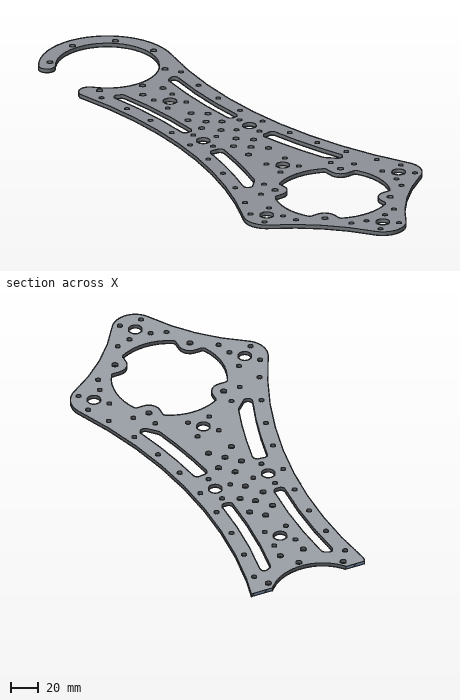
import cadquery as cq
import math

thickness = 3.0

hook_outer_radius = 50.0
hook_inner_radius = 37.7
hook_end_angle = 232.6
head_x = 270.0
arm_length = 60.0
arm_end_radius = 17.0
flank_radius = 350.5
nose_radius = 158.0
lower_lip_radius = 8.0

opening_radius = 42.0
pad_radius = 8.7
pad_edge_fillet = 2.5

small_hole = 3.5
medium_hole = 4.5
large_hole = 10.0

ring_hole_radius = 42.0
cluster_radius = 12.0
body_cluster_xs = (75.0, 210.0)
side_cluster_x = 142.5
side_cluster_y = 21.0
row_start = 100.5
row_pitch = 18.0
row_count = 5
pair_xs = (54.5, 108.5, 125.0, 163.0, 181.0)
pair_y = 9.0
rim_inset = 6.0
rim_first_angle = -100.0
rim_pitch_angle = 4.17
rim_count = 9
rim_skipped = 4
nose_inset = 8.0
nose_hole_angle = 7.0
shoulder_hole_radius = 52.0
shoulder_hole_angle = 9.4

slot_inset = 12.5
front_slot_width = 8.5
rear_slot_width = 11.0
slot_cluster_gap = 18.0
slot_head_gap = 59.0
front_slot_fillet = 3.0
rear_slot_fillet = 3.5


def polar(center, radius, angle):
    """Point at a radius and an angle in degrees around a centre."""
    turn = math.radians(angle)
    return (center[0] + radius * math.cos(turn), center[1] + radius * math.sin(turn))


def bearing(start, end):
    """Direction in degrees from one point to another."""
    return math.degrees(math.atan2(end[1] - start[1], end[0] - start[0]))


def mirrored(point):
    """Mirror image of a point across the X axis."""
    return (point[0], -point[1])


def with_mirrors(points):
    """Points together with their mirror images across the X axis."""
    return points + [mirrored(point) for point in points]


def meeting_point(first, first_distance, second, second_distance):
    """Point at given distances from two points, on the left going from first to second."""
    gap = math.dist(first, second)
    along = (gap**2 + first_distance**2 - second_distance**2) / (2 * gap)
    angle = math.degrees(math.acos(along / first_distance))
    return polar(first, first_distance, bearing(first, second) + angle)


hook = (0, 0)
head = (head_x, 0)
front_arm = (head_x + arm_length, 0)
upper_arm = (head_x, arm_length)
lower_arm = mirrored(upper_arm)
upper_flank = meeting_point(
    hook, hook_outer_radius + flank_radius, upper_arm, arm_end_radius + flank_radius
)
lower_flank = mirrored(upper_flank)
upper_nose = meeting_point(
    upper_arm, arm_end_radius + nose_radius, front_arm, arm_end_radius + nose_radius
)
lower_nose = mirrored(upper_nose)
lower_lip = meeting_point(
    hook, hook_inner_radius + lower_lip_radius, lower_flank, flank_radius + lower_lip_radius
)
hook_wall = hook_outer_radius - hook_inner_radius
hook_end = polar(hook, hook_inner_radius + hook_wall / 2, hook_end_angle)


def plate():
    """Plate outline as a chain of tangent arcs: centre, radius, start angle, end angle."""
    lip_angle = bearing(hook, lower_lip)
    arcs = [
        (hook, hook_inner_radius, hook_end_angle, lip_angle),
        (lower_lip, lower_lip_radius, lip_angle + 180, bearing(lower_lip, lower_flank) + 360),
        (lower_flank, flank_radius, bearing(lower_flank, lower_lip), bearing(lower_flank, lower_arm)),
        (lower_arm, arm_end_radius, bearing(lower_arm, lower_flank), bearing(lower_arm, lower_nose)),
        (lower_nose, nose_radius, bearing(lower_nose, lower_arm), bearing(lower_nose, front_arm)),
        (front_arm, arm_end_radius, bearing(front_arm, lower_nose), bearing(front_arm, upper_nose)),
        (upper_nose, nose_radius, bearing(upper_nose, front_arm), bearing(upper_nose, upper_arm)),
        (upper_arm, arm_end_radius, bearing(upper_arm, upper_nose), bearing(upper_arm, upper_flank)),
        (upper_flank, flank_radius, bearing(upper_flank, upper_arm), bearing(upper_flank, hook)),
        (hook, hook_outer_radius, bearing(hook, upper_flank), hook_end_angle),
        (hook_end, hook_wall / 2, hook_end_angle, hook_end_angle + 180),
    ]
    outline = cq.Workplane("XY").moveTo(*polar(hook, hook_inner_radius, hook_end_angle))
    for center, radius, start, end in arcs:
        middle = polar(center, radius, (start + end) / 2)
        outline = outline.threePointArc(middle, polar(center, radius, end))
    return outline.close().extrude(thickness)


def disc(center, radius):
    """Round cutter through the full thickness."""
    return cq.Workplane("XY").center(*center).circle(radius).extrude(thickness)


def head_opening():
    """Round opening with four rounded pads reaching in around the diagonal holes."""
    pad_offset = ring_hole_radius * math.sqrt(0.5)
    pad_size = 2 * opening_radius
    pad_center = pad_offset - pad_radius + pad_size / 2
    pads = (
        cq.Workplane("XY")
        .center(*head)
        .rect(2 * pad_center, 2 * pad_center, forConstruction=True)
        .vertices()
        .rect(pad_size, pad_size)
        .extrude(thickness)
        .edges("|Z")
        .fillet(pad_radius)
    )
    opening = disc(head, opening_radius).cut(pads)
    lobe_corners = opening.edges("|Z").filter(
        lambda edge: math.dist(edge.Center().toTuple()[:2], head) > opening_radius - pad_edge_fillet
    )
    return lobe_corners.fillet(pad_edge_fillet)


def slot(width, fillet, start_keepout, end_keepout, x_range):
    """Slot along the upper flank, ending where the two keep-out cutters begin."""
    outer = flank_radius + slot_inset
    band = disc(upper_flank, outer + width).cut(disc(upper_flank, outer))
    start, end = x_range
    window = (
        cq.Workplane("XY")
        .center((start + end) / 2, upper_flank[1] - outer)
        .rect(end - start, outer)
        .extrude(thickness)
    )
    cutter = band.intersect(window).cut(start_keepout).cut(end_keepout)
    return cutter.edges("|Z").fillet(fillet)


def flank_slots():
    """Front and rear slots on both sides of the body."""
    hook_area = disc(hook, hook_outer_radius)
    cluster_area = disc((side_cluster_x, side_cluster_y), slot_cluster_gap)
    head_area = (
        cq.Workplane("XY")
        .center(*head)
        .rect(2 * slot_head_gap, 2 * head_x)
        .extrude(thickness)
        .rotate((head_x, 0, 0), (head_x, 0, 1), -45)
    )
    front = slot(front_slot_width, front_slot_fillet, hook_area, cluster_area, (0, side_cluster_x))
    rear = slot(rear_slot_width, rear_slot_fillet, cluster_area, head_area, (side_cluster_x, head_x))
    upper = front.union(rear)
    return upper.union(upper.mirror("XZ"))


def ring(center, radius, angles):
    """Points around a centre at the given angles."""
    return [polar(center, radius, angle) for angle in angles]


square_angles = (45, 135, 225, 315)
diamond_angles = (0, 90, 180, 270)

square_clusters = [(x, 0) for x in body_cluster_xs] + [front_arm, upper_arm, lower_arm]
side_clusters = with_mirrors([(side_cluster_x, side_cluster_y)])
large_points = square_clusters + side_clusters

medium_points = ring(hook, ring_hole_radius, (0, 45, 90, 135, 180, 225, 315))
medium_points += ring(head, ring_hole_radius, square_angles)
medium_points += [(row_start + i * row_pitch, 0) for i in range(row_count)]
medium_points += with_mirrors([(x, pair_y) for x in pair_xs])

rim_angles = [rim_first_angle + i * rim_pitch_angle for i in range(rim_count) if i != rim_skipped]
nose_angles = (225 - nose_hole_angle, 225 + nose_hole_angle)
shoulder_angles = (135 - shoulder_hole_angle, 135 + shoulder_hole_angle)
edge_points = ring(upper_flank, flank_radius + rim_inset, rim_angles)
edge_points += ring(upper_nose, nose_radius + nose_inset, nose_angles)
edge_points += ring(head, shoulder_hole_radius, shoulder_angles)
small_points = with_mirrors(edge_points)
for cluster in square_clusters:
    small_points += ring(cluster, cluster_radius, square_angles)
for cluster in side_clusters:
    small_points += ring(cluster, cluster_radius, diamond_angles)


def holes(points, diameter):
    """Round through-hole cutters at the points."""
    return cq.Workplane("XY").pushPoints(points).circle(diameter / 2).extrude(thickness)


result = plate().cut(head_opening()).cut(flank_slots())
for points, diameter in (
    (large_points, large_hole),
    (medium_points, medium_hole),
    (small_points, small_hole),
):
    result = result.cut(holes(points, diameter))